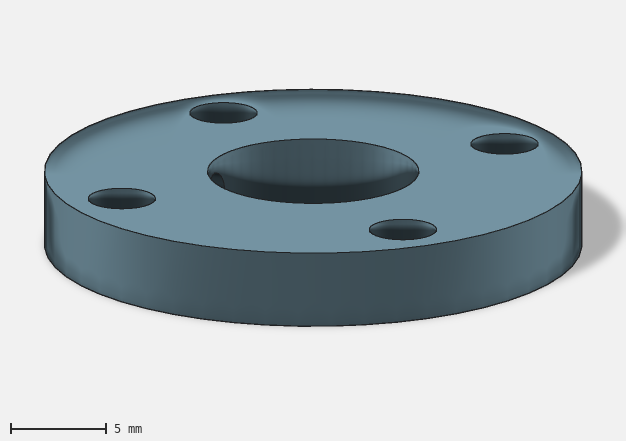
import cadquery as cq

outer_diameter = 28.0
thickness = 4.0
bore_diameter = 11.0

mount_hole_count = 4
mount_hole_diameter = 3.5
mount_circle_diameter = 22.0

screw_hole_diameter = 2.5
screw_hole_angle = 225.0


def make_ring():
    return (
        cq.Workplane("XY")
        .circle(outer_diameter / 2)
        .circle(bore_diameter / 2)
        .extrude(thickness)
    )


def make_mount_holes():
    return (
        cq.Workplane("XY")
        .polarArray(mount_circle_diameter / 2, 0, 360, mount_hole_count)
        .circle(mount_hole_diameter / 2)
        .extrude(thickness)
    )


def make_screw_hole():
    return (
        cq.Workplane("YZ", origin=(0, 0, thickness / 2))
        .circle(screw_hole_diameter / 2)
        .extrude(outer_diameter / 2)
        .rotate((0, 0, 0), (0, 0, 1), screw_hole_angle)
    )


result = make_ring().cut(make_mount_holes()).cut(make_screw_hole())